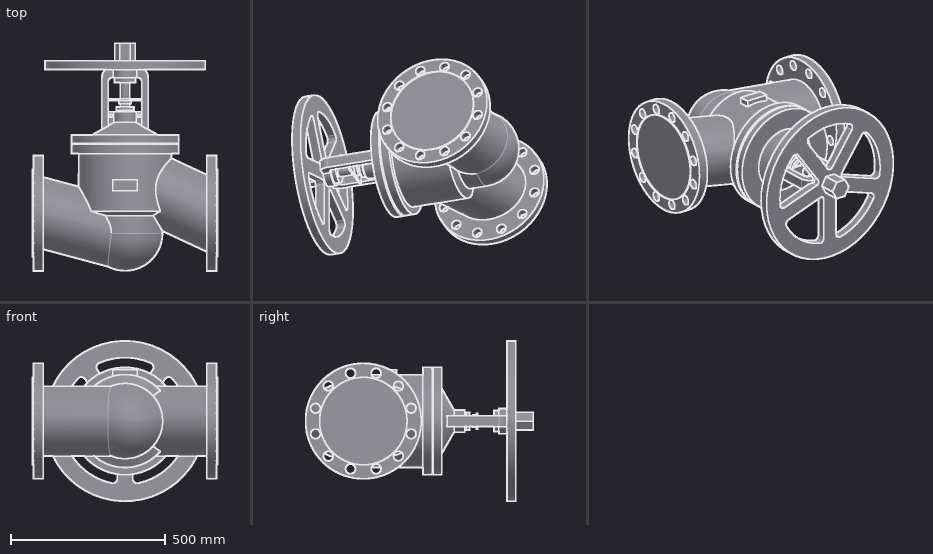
import cadquery as cq
import math


overall_length = 739

face_to_face = 600.0
raised_face_height = 3.0
raised_face_diameter = 284.0
flange_diameter = 375.0
flange_thickness = 32.5
bolt_circle_diameter = 320.5
bolt_hole_diameter = 31.0
bolt_count = 12

pipe_diameter = 227.0
inlet_angle = 15
outlet_angle = 25

body_diameter = 301.5
body_bottom = 7.0
body_top = 223.0
shoulder_height = 14.0
bowl_radius = 122.0
bowl_center = -65.0

cover_diameter = 349.0
body_flange_bottom = 193.0
bonnet_flange_bottom = 226.0
bonnet_flange_top = 254.0
gasket_diameter = 341.0

cone_base_diameter = 212.0
neck_diameter = 73.0
neck_bottom = 294.0
neck_top = 329.0
gland_diameter = 58.0
gland_bottom = 333.0
gland_top = 344.0
gland_foot_diameter = 44
stem_diameter = 31.0
collar_diameter = 41.0
collar_bottom = 354.5
collar_top = 365.0

indicator_thickness = 5.0
indicator_depth = 52

yoke_width = 151.0
yoke_leg_width = 21.5
yoke_depth = 35.5
yoke_inner_radius = 12.5
yoke_outer_radius = 35.5
yoke_window_top = 439.0
web_depth = 15
web_hole_diameter = 9.0
web_hole_offset = 45.0
web_hole_height = 315.5

wheel_diameter = 520.0
wheel_bottom = 465.0
wheel_thickness = 29.5
wheel_top = wheel_bottom + wheel_thickness
rim_inner_diameter = 411.0
spoke_count = 5
spoke_width = 50.0
window_outer_fillet = 15
window_inner_fillet = 10.0
yoke_hub_diameter = 83.0
bushing_diameter = 69.0
bushing_bottom = 422.5
nut_corner_diameter = 67.0
nut_top = overall_length - flange_diameter / 2

plate_width = 78.0
plate_bottom = 73.0
plate_height = 35.5
plate_face = 166.0


def along_y(diameter, bottom, top):
    """Cylinder about the Y axis between two heights."""
    return cq.Workplane("XZ", origin=(0, bottom, 0)).circle(diameter / 2).extrude(bottom - top)


def cone_along_y(bottom_diameter, top_diameter, bottom, top):
    """Truncated cone about the Y axis between two heights."""
    profile = [(0, bottom), (bottom_diameter / 2, bottom), (top_diameter / 2, top), (0, top)]
    return cq.Workplane("XY").polyline(profile).close().revolve(360, (0, 0, 0), (0, 1, 0))


def pipe_flange(side):
    """Drilled flange with a raised face; side is -1 for the inlet and +1 for the outlet."""
    face = side * (face_to_face / 2 - raised_face_height)
    plane = cq.Workplane("YZ", origin=(face, 0, 0))
    disc = plane.circle(flange_diameter / 2).extrude(-side * flange_thickness)
    half_pitch = 180 / bolt_count
    holes = (
        plane.polarArray(bolt_circle_diameter / 2, half_pitch, 360, bolt_count)
        .circle(bolt_hole_diameter / 2)
        .extrude(-side * flange_thickness)
    )
    raised_face = plane.circle(raised_face_diameter / 2).extrude(side * raised_face_height)
    return disc.cut(holes).union(raised_face)


def branch(side, rise_angle):
    """Sloping pipe from the middle of a flange back to the Y axis; it rises by rise_angle."""
    run = face_to_face / 2 - raised_face_height - flange_thickness
    angle = math.radians(rise_angle)
    start = cq.Vector(side * run, 0, 0)
    direction = cq.Vector(-side * math.cos(angle), math.sin(angle), 0)
    overrun = pipe_diameter / 2 * math.tan(abs(angle))
    length = overrun + run / math.cos(angle)
    pipe = cq.Solid.makeCylinder(pipe_diameter / 2, length, start - direction * overrun, direction)
    trim_size = 2 * face_to_face
    trim = cq.Workplane("XY").box(trim_size, trim_size, trim_size)
    trim = trim.translate((side * (run - trim_size / 2), 0, 0))
    return cq.Workplane(obj=pipe).intersect(trim)


def body():
    """Body turned in one piece: round bowl, conical shoulder, barrel and body flange."""
    bowl_mid = bowl_radius * math.sqrt(0.5)
    profile = (
        cq.Workplane("XY")
        .moveTo(0, bowl_center - bowl_radius)
        .threePointArc((bowl_mid, bowl_center - bowl_mid), (bowl_radius, bowl_center))
        .lineTo(bowl_radius, body_bottom - shoulder_height)
        .lineTo(body_diameter / 2, body_bottom)
        .lineTo(body_diameter / 2, body_flange_bottom)
        .lineTo(cover_diameter / 2, body_flange_bottom)
        .lineTo(cover_diameter / 2, body_top)
        .lineTo(0, body_top)
        .close()
    )
    return profile.revolve(360, (0, 0, 0), (0, 1, 0))


def bonnet():
    """Gasket, bonnet flange, cone and packing neck."""
    cover = along_y(gasket_diameter, body_top, bonnet_flange_bottom)
    cover = cover.union(along_y(cover_diameter, bonnet_flange_bottom, bonnet_flange_top))
    cover = cover.union(
        cone_along_y(cone_base_diameter, neck_diameter, bonnet_flange_top, neck_bottom)
    )
    return cover.union(along_y(neck_diameter, neck_bottom, neck_top))


def stem():
    """Stem with the gland, the indicator plate on its collar and the bushing under the wheel."""
    rod = along_y(stem_diameter, neck_top, wheel_bottom)
    rod = rod.union(cone_along_y(gland_foot_diameter, gland_diameter, neck_top, gland_bottom))
    rod = rod.union(along_y(gland_diameter, gland_bottom, gland_top))
    rod = rod.union(along_y(collar_diameter, collar_bottom, collar_top))
    indicator = cq.Workplane("XY").box(
        yoke_width - 2 * yoke_leg_width, indicator_thickness, indicator_depth
    )
    rod = rod.union(indicator.translate((0, collar_top + indicator_thickness / 2, 0)))
    return rod.union(along_y(bushing_diameter, bushing_bottom, yoke_window_top))


def yoke_outline(width, top, corner_radius, depth):
    """Upright block on the bonnet flange with rounded top corners, centred on Z = 0."""
    height = top - bonnet_flange_top
    block = cq.Workplane("XY").box(width, height, depth).edges("|Z and >Y").fillet(corner_radius)
    return block.translate((0, bonnet_flange_top + height / 2, 0))


def yoke():
    """Arched yoke with its hub and the thin drilled web beside the packing neck."""
    window_width = yoke_width - 2 * yoke_leg_width
    arch_top = yoke_window_top + yoke_outer_radius
    arch = yoke_outline(yoke_width, arch_top, yoke_outer_radius, yoke_depth)
    arch = arch.cut(yoke_outline(window_width, yoke_window_top, yoke_inner_radius, yoke_depth))
    web_height = neck_top - bonnet_flange_top
    web = (
        cq.Workplane("XY")
        .box(window_width, web_height, web_depth)
        .translate((0, bonnet_flange_top + web_height / 2, 0))
    )
    holes = (
        cq.Workplane("XY")
        .pushPoints([(-web_hole_offset, web_hole_height), (web_hole_offset, web_hole_height)])
        .circle(web_hole_diameter / 2)
        .extrude(web_depth, both=True)
    )
    hub = along_y(yoke_hub_diameter, yoke_window_top, wheel_bottom)
    return arch.union(web.cut(holes)).union(hub)


def handwheel():
    """Flat wheel whose windows leave straight spokes, one of them pointing to -Z."""
    wheel = along_y(wheel_diameter, wheel_bottom, wheel_top)
    windows = along_y(rim_inner_diameter, wheel_bottom, wheel_top)
    spoke_length = wheel_diameter / 2
    spoke = (
        cq.Workplane("XY")
        .box(spoke_width, wheel_thickness, spoke_length)
        .translate((0, (wheel_bottom + wheel_top) / 2, -spoke_length / 2))
    )
    for index in range(spoke_count):
        windows = windows.cut(spoke.rotate((0, 0, 0), (0, 1, 0), index * 360 / spoke_count))
    hub_zone = rim_inner_diameter / 4
    hub_corners = cq.selectors.BoxSelector(
        (-hub_zone, wheel_bottom, -hub_zone), (hub_zone, wheel_top, hub_zone)
    )
    upright = cq.selectors.ParallelDirSelector(cq.Vector(0, 1, 0))
    windows = windows.edges(upright - hub_corners).fillet(window_outer_fillet)
    windows = windows.edges(upright & hub_corners).fillet(window_inner_fillet)
    return wheel.cut(windows)


def nut():
    """Hexagonal nut on top of the wheel with two corners on the X direction."""
    return (
        cq.Workplane("XZ", origin=(0, wheel_top, 0))
        .polygon(6, nut_corner_diameter)
        .extrude(wheel_top - nut_top)
    )


def nameplate():
    """Raised rectangular pad on the +Z side of the body."""
    return (
        cq.Workplane("XY", origin=(0, plate_bottom + plate_height / 2, 0))
        .rect(plate_width, plate_height)
        .extrude(plate_face)
    )


result = body().union(branch(-1, -inlet_angle)).union(branch(1, outlet_angle))
result = result.union(pipe_flange(-1)).union(pipe_flange(1)).union(nameplate())
result = result.union(bonnet()).union(stem()).union(yoke()).union(handwheel()).union(nut())